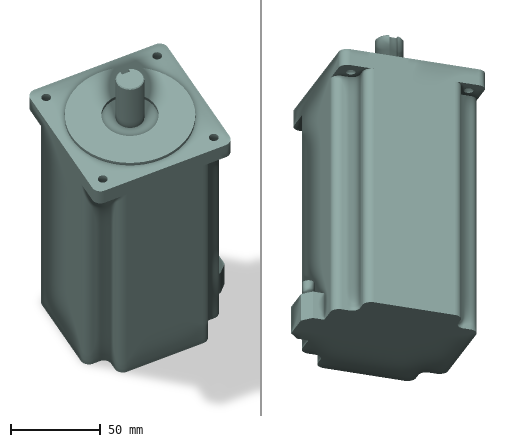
import cadquery as cq

total_height = 187.8
flange_top = 155.8
flange_thickness = 10.0

side = 86.0
notch_size = 14.0
notch_inner_radius = 4.7
edge_radius = 5.0

hole_diameter = 5.5
hole_spacing = 69.5

pilot_diameter = 72.8
pilot_height = 2.0
recess_diameter = 32.0
recess_depth = 2.0

shaft_diameter = 16.0
shaft_chamfer = 0.5
key_width = 5.0
key_depth = 3.2
key_length = 22.3

connector_width = 27.0
connector_reach = 12.0
connector_height = 16.5
connector_chamfer = 5.3
cable_diameter = 6.5
cable_length = 12.2
cable_offset = 7.3

pilot_top = flange_top + pilot_height
recess_floor = pilot_top - recess_depth


def make_housing():
    """Square column with a filleted notch cut out of each corner."""
    body_height = flange_top - flange_thickness
    inner = side / 2 - notch_size
    housing = cq.Workplane("XY").rect(side, side).extrude(body_height)
    notches = (
        cq.Workplane("XY")
        .rect(side, side, forConstruction=True)
        .vertices()
        .rect(2 * notch_size, 2 * notch_size)
        .extrude(body_height)
    )
    housing = housing.cut(notches)
    inner_corners = cq.selectors.BoxSelector(
        (-inner - edge_radius, -inner - edge_radius, 0),
        (inner + edge_radius, inner + edge_radius, flange_top),
    )
    housing = housing.edges("|Z").edges(inner_corners).fillet(notch_inner_radius)
    for axis in ("X", "Y"):
        for direction in (">", "<"):
            housing = housing.faces(direction + axis).edges("|Z").fillet(edge_radius)
    return housing


def make_flange():
    """Rounded square plate with four mounting holes."""
    return (
        cq.Workplane("XY", origin=(0, 0, flange_top - flange_thickness))
        .rect(side, side)
        .extrude(flange_thickness)
        .edges("|Z")
        .fillet(edge_radius)
        .faces(">Z")
        .workplane()
        .rect(hole_spacing, hole_spacing, forConstruction=True)
        .vertices()
        .hole(hole_diameter)
    )


def make_pilot():
    """Raised disc on top of the flange."""
    return cq.Workplane("XY", origin=(0, 0, flange_top)).circle(pilot_diameter / 2).extrude(pilot_height)


def make_recess():
    """Round pocket in the pilot that surrounds the shaft."""
    return cq.Workplane("XY", origin=(0, 0, recess_floor)).circle(recess_diameter / 2).extrude(recess_depth)


def make_shaft():
    """Chamfered shaft with a keyway open at its tip."""
    shaft = (
        cq.Workplane("XY", origin=(0, 0, recess_floor))
        .circle(shaft_diameter / 2)
        .extrude(total_height - recess_floor)
        .faces(">Z")
        .chamfer(shaft_chamfer)
    )
    keyway = cq.Workplane("XY").box(key_depth, key_width, key_length, centered=(False, True, False))
    return shaft.cut(keyway.translate((-shaft_diameter / 2, 0, total_height - key_length)))


def make_connector():
    """Block with chamfered outer corners and an upright cable stub."""
    outer_face = side / 2 + connector_reach
    block = (
        cq.Workplane("XY", origin=(0, side / 2, 0))
        .box(connector_width, connector_reach, connector_height, centered=(True, False, False))
        .faces(">Y")
        .edges("|Z")
        .chamfer(connector_chamfer)
    )
    cable = (
        cq.Workplane("XY", origin=(0, outer_face - cable_offset, connector_height))
        .circle(cable_diameter / 2)
        .extrude(cable_length)
    )
    return block.union(cable)


motor = make_housing().union(make_flange()).union(make_pilot()).cut(make_recess())
result = motor.union(make_shaft()).union(make_connector())